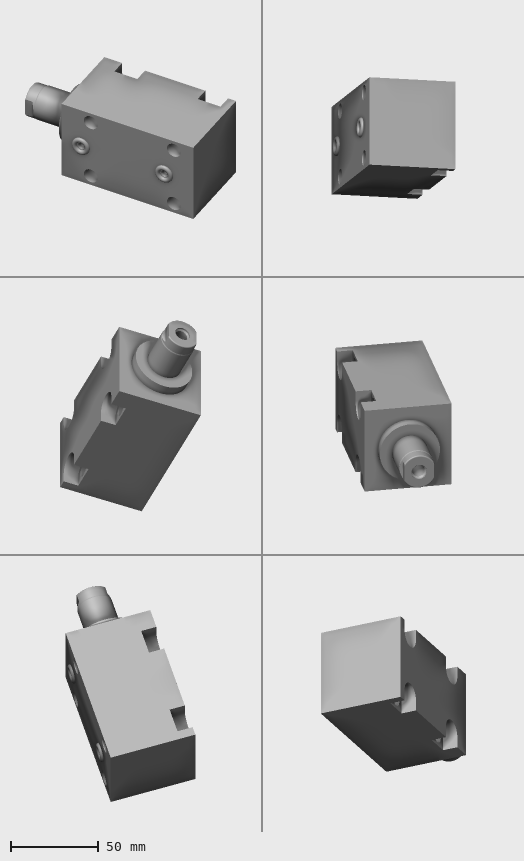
import cadquery as cq
import math

total_length = 118.8
block_start = 33.1
block_length = total_length - block_start
block_height = 50.8
shaft_to_back = 25.0
shaft_to_front = 25.4
block_depth = shaft_to_back + shaft_to_front

collar_start = 27.0
collar_radius = 17.5
shaft_radius = 10.3
nose_radius = 10.1
nose_length = 6.5
nose_taper_length = 0.7
tip_round = 0.7

flat_width = 17.0
flat_length = 4.8

bore_diameter = 7.2
bore_chamfer = 0.8
bore_recess_depth = 1.1
bore_depth = 15.0

bolt_start = 52.1
bolt_spacing_x = 54.0
bolt_spacing_z = 38
bolt_diameter = 8.9
rebate_diameter = 14.8
rebate_depth = 9.0

port_start = 45.8
ring_outer_radius = 5.7
ring_tube_radius = 1.5
port_diameter = 3.0
port_chamfer = 0.7
port_depth = 10.0
port_drill_angle = 118


def along_x(start, end, radius):
    return cq.Workplane("YZ", origin=(start, 0, 0)).circle(radius).extrude(end - start)


def make_block():
    return cq.Workplane("XY").box(
        block_length, block_depth, block_height, centered=(False, False, True)
    ).translate((block_start, -shaft_to_front, 0))


def make_shaft():
    arc_inset = tip_round * (1 - math.sqrt(0.5))
    profile = (
        cq.Workplane("XY")
        .lineTo(0, nose_radius - tip_round)
        .threePointArc((arc_inset, nose_radius - arc_inset), (tip_round, nose_radius))
        .lineTo(nose_length, nose_radius)
        .lineTo(nose_length + nose_taper_length, shaft_radius)
        .lineTo(block_start, shaft_radius)
        .lineTo(block_start, 0)
        .close()
    )
    shaft = profile.revolve(360, (0, 0, 0), (1, 0, 0))
    return shaft.union(along_x(collar_start, block_start, collar_radius))


def wrench_flat_cutter(side):
    """Flat on one side of the nose, ending in a 45 degree runout."""
    flat_y = side * flat_width / 2
    outside_y = side * 2 * nose_radius
    runout_end = flat_length + abs(outside_y - flat_y)
    return (
        cq.Workplane("XY")
        .polyline([(0, flat_y), (flat_length, flat_y), (runout_end, outside_y), (0, outside_y)])
        .close()
        .extrude(nose_radius, both=True)
    )


def bore_cutter():
    """Blind bore with a shallow recess that tapers into it at 45 degrees."""
    radius = bore_diameter / 2
    recess_radius = radius + bore_chamfer
    profile = [
        (0, 0),
        (0, recess_radius),
        (bore_recess_depth, recess_radius),
        (bore_recess_depth + bore_chamfer, radius),
        (bore_depth, radius),
        (bore_depth, 0),
    ]
    return cq.Workplane("XY").polyline(profile).close().revolve(360, (0, 0, 0), (1, 0, 0))


def port_cutter(x):
    """Drilled blind hole in the front face with a countersunk mouth and a conical bottom."""
    radius = port_diameter / 2
    drill_point = radius / math.tan(math.radians(port_drill_angle / 2))
    profile = [
        (0, 0),
        (radius + port_chamfer, 0),
        (radius, port_chamfer),
        (radius, port_depth),
        (0, port_depth + drill_point),
    ]
    hole = cq.Workplane("XY").polyline(profile).close().revolve(360, (0, 0, 0), (0, 1, 0))
    return hole.translate((x, -shaft_to_front, 0))


def rebate_cutter(x, side):
    """Round-ended slot in the back face, open to the top or bottom of the block."""
    hole_z = side * bolt_spacing_z / 2
    edge_z = side * block_height / 2
    back = cq.Workplane("XZ", origin=(x, shaft_to_back, 0))
    round_end = back.center(0, hole_z).circle(rebate_diameter / 2).extrude(rebate_depth)
    opening = (
        back.center(0, (hole_z + edge_z) / 2)
        .rect(rebate_diameter, abs(edge_z - hole_z))
        .extrude(rebate_depth)
    )
    return round_end.union(opening)


def seal_ring(x):
    """Torus sunk to half its section in the front face."""
    centre_radius = ring_outer_radius - ring_tube_radius
    return cq.Workplane(cq.Solid.makeTorus(
        centre_radius, ring_tube_radius, cq.Vector(x, -shaft_to_front, 0), cq.Vector(0, 1, 0)
    ))


result = make_block().union(make_shaft())

for side in (-1, 1):
    result = result.cut(wrench_flat_cutter(side))

result = result.cut(bore_cutter())

for column in range(2):
    bolt_x = bolt_start + column * bolt_spacing_x
    for side in (-1, 1):
        bolt_hole = (
            cq.Workplane("XZ", origin=(bolt_x, 0, side * bolt_spacing_z / 2))
            .circle(bolt_diameter / 2)
            .extrude(block_depth, both=True)
        )
        result = result.cut(bolt_hole).cut(rebate_cutter(bolt_x, side))

    port_x = port_start + column * bolt_spacing_x
    result = result.union(seal_ring(port_x)).cut(port_cutter(port_x))